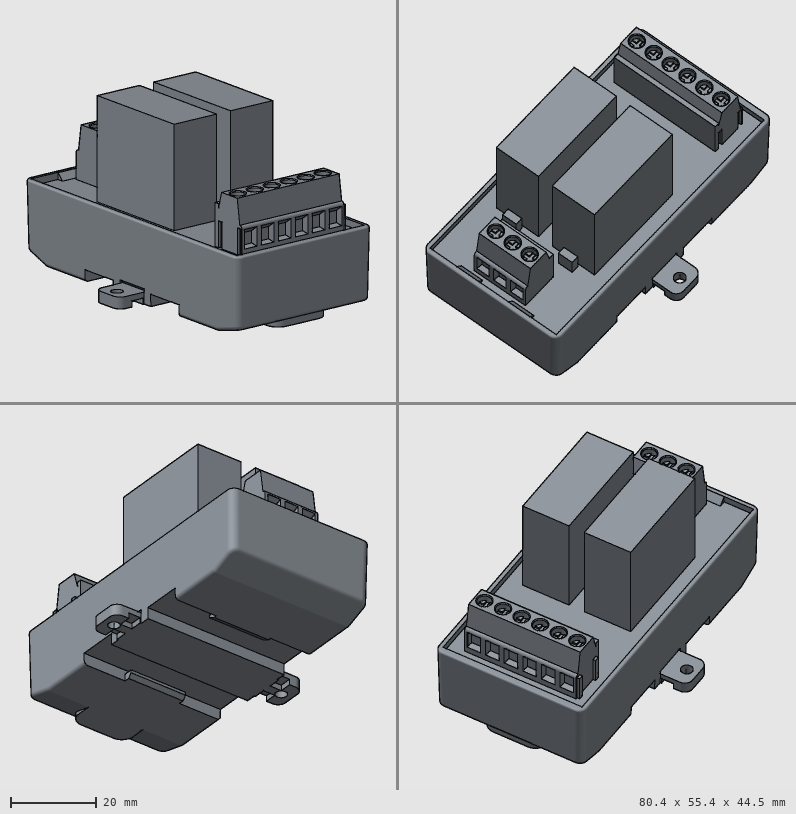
import cadquery as cq
import math


LENGTH = 80.4
WIDTH = 40.85
RIM_Z = 20.0
DRAFT_ANGLE = 1.0
CORNER_RADIUS = 2.1
RIM_ROUND = 0.5
BASE_ROUND = 1.05
RIM_WALL = 1.3
RIGHT_RIM_WALL = 1.8
FLOOR_Z = 18.25

LEFT_SLOPE_START_X = -32.3
LEFT_SLOPE_END_Z = 2.8
RIGHT_SLOPE_START_X = 32.2
RIGHT_SLOPE_END_Z = 1.9

UNDERSIDE_LIMIT_Z = 6.0

CHANNEL_TOP_Z = 3.05
CHANNELS_X = [(-17.5, -6.9), (7.2, 17.85)]
HOOK_WIDTH = 16.1
FIXED_HOOK_TIP_X = -14.95
FIXED_HOOK_FOOT_X = -16.7
FIXED_HOOK_TOP_Z = 1.6
LATCH_TIP_X = 15.5
LATCH_FOOT_X = 16.5
LATCH_TOP_Z = 1.9
HOOK_LIP = 0.8
LATCH_HANDLE_X = 39.2
LATCH_CORNER_RADIUS = 3.3

EAR_CENTRE_X = 0.25
EAR_WIDTH = 9.0
EAR_SPAN = 55.4
EAR_END_Y = EAR_SPAN / 2
EAR_TOP_Z = 3.0
EAR_CORNER_RADIUS = 2.2
EAR_HOLE_DIAMETER = 3.0
EAR_HOLE_Y = 24.7
EAR_UNDERCUT_END_Y = 23.7
EAR_UNDERCUT_HEIGHT = 1.5
EAR_WEB = 2.6
EAR_RELIEF = 1.1

RELAY_PITCH = 17.0
RELAY_X = (-19.45, 9.5)
RELAY_WIDTH = 12.8
RELAY_TOP_Z = 44.5
LAMP_X = (-22.2, -20.1)
LAMP_WIDTH = 4.2
LAMP_TOP_Z = 22.5
LAMP_OFFSET_Y = 0.25
CLIP_SIZE = 1.7
CLIP_WIDTH = 6.5
CLIP_CENTRE_Y = 7.8

TERMINAL_TOP_Z = 32.2
TERMINAL_TOP_WIDTH = 5.9
SHOULDER_Z = 25.7
SHOULDER_RADIUS = 0.9
FRONT_SLOPE_RUN = 1.0
BACK_SLOPE_RUN = 1.2
BACK_STEP_Z = 28.05
SCREW_FROM_FRONT = 4.8
SCREW_MOUTH_DIAMETER = 4.1
SCREW_CHAMFER = 0.25
SCREW_DEPTH = 1.8
CROSS_SLOT_WIDTH = 1.0
CROSS_SLOT_DEPTH = 0.5
WIRE_MOUTH = (3.7, 19.9, 24.8)
WIRE_END = (2.8, 20.5, 23.55)
WIRE_DEPTH = 1.4

SMALL_POLES = 3
SMALL_BLOCK_FRONT_X = -36.35
SMALL_BLOCK_WIDTH = 15.5
SMALL_BLOCK_Y = 0.1
SMALL_BACK_X = -26.0

LARGE_POLES = 6
LARGE_BLOCK_FRONT_X = 35.4
LARGE_BLOCK_WIDTH = 30.7
POLE_PITCH = LARGE_BLOCK_WIDTH / LARGE_POLES
LARGE_BLOCK_Y = 0.25
LARGE_BACK_X = 25.2
BACK_PLATE_THICKNESS = 1.3
BACK_PLATE_Z = 29.1
JOINT_X = [(26.45, 27.7), (33.7, 34.9)]
JOINT_DEPTH = 0.7
JOINT_TOP_Z = 24.85


def block(x_range, y_range, z_range):
    """Box between the given limits."""
    spans = [high - low for low, high in (x_range, y_range, z_range)]
    corner = (x_range[0], y_range[0], z_range[0])
    return cq.Workplane("XY").box(*spans, centered=False).translate(corner)


def centred(middle, width):
    """Limits of a width centred on a place."""
    return (middle - width / 2, middle + width / 2)


def prism(points, y_range):
    """Polygon of (x, z) points extruded between two Y places."""
    outline = cq.Workplane("XZ", origin=(0, y_range[1], 0)).polyline(points).close()
    return outline.extrude(y_range[1] - y_range[0])


def make_drafted_block():
    """Block narrowing downward, with its nominal length and width just below the rim rounding."""
    rim_growth = 2 * RIM_ROUND * math.tan(math.radians(DRAFT_ANGLE))
    return (
        cq.Workplane("XY", origin=(0, 0, RIM_Z))
        .rect(LENGTH + rim_growth, WIDTH + rim_growth)
        .extrude(-RIM_Z, taper=DRAFT_ANGLE)
    )


def make_shell():
    """Drafted block with sloping ends, rounded edges and a recessed floor inside the rim."""
    shell = make_drafted_block()
    bottom_end_x = LENGTH / 2 - RIM_Z * math.tan(math.radians(DRAFT_ANGLE))
    for start_x, end_x, end_z in (
        (LEFT_SLOPE_START_X, -bottom_end_x, LEFT_SLOPE_END_Z),
        (RIGHT_SLOPE_START_X, bottom_end_x, RIGHT_SLOPE_END_Z),
    ):
        far_x = 2 * end_x - start_x
        slope = [(start_x, 0), (far_x, 2 * end_z), (far_x, 0)]
        shell = shell.cut(prism(slope, (-WIDTH, WIDTH)))
    upright = cq.selectors.BoxSelector(
        (-LENGTH, -WIDTH, UNDERSIDE_LIMIT_Z), (LENGTH, WIDTH, FLOOR_Z)
    )
    shell = shell.edges(upright).fillet(CORNER_RADIUS)
    shell = shell.faces(">Z").edges().fillet(RIM_ROUND)
    underside = cq.selectors.BoxSelector(
        (-LENGTH, -WIDTH, -UNDERSIDE_LIMIT_Z), (LENGTH, WIDTH, UNDERSIDE_LIMIT_Z)
    )
    shell = shell.edges(underside).fillet(BASE_ROUND)
    inside_x = (-LENGTH / 2 + RIM_WALL, LENGTH / 2 - RIGHT_RIM_WALL)
    inside_y = centred(0, WIDTH - 2 * RIM_WALL)
    return shell.cut(block(inside_x, inside_y, (FLOOR_Z, RIM_Z)))


def make_foot():
    """Central foot between the rail channels, sharp along its bottom edges."""
    foot_x = (CHANNELS_X[0][1], CHANNELS_X[1][0])
    return make_drafted_block().intersect(block(foot_x, (-WIDTH, WIDTH), (0, CHANNEL_TOP_Z)))


def make_fixed_hook():
    """Hook that holds one edge of the rail."""
    wall_x = CHANNELS_X[0][0]
    points = [
        (wall_x - HOOK_LIP, 0),
        (FIXED_HOOK_FOOT_X, 0),
        (FIXED_HOOK_TIP_X, FIXED_HOOK_TOP_Z - HOOK_LIP),
        (FIXED_HOOK_TIP_X, FIXED_HOOK_TOP_Z),
        (wall_x - HOOK_LIP, FIXED_HOOK_TOP_Z),
    ]
    return prism(points, centred(0, HOOK_WIDTH))


def make_latch():
    """Latch along the base, with a hook for the other rail edge and a rounded handle."""
    points = [
        (LATCH_FOOT_X, 0),
        (LATCH_HANDLE_X, 0),
        (LATCH_HANDLE_X, LATCH_TOP_Z),
        (LATCH_TIP_X, LATCH_TOP_Z),
        (LATCH_TIP_X, LATCH_TOP_Z - HOOK_LIP),
    ]
    latch = prism(points, centred(0, HOOK_WIDTH))
    return latch.faces(">X").edges("|Z").fillet(LATCH_CORNER_RADIUS)


def make_ear():
    """Mounting ear on the -Y side, undercut beside a middle web."""
    root_y = -WIDTH / 2 + EAR_RELIEF
    x_range = centred(EAR_CENTRE_X, EAR_WIDTH)
    ear = block(x_range, (-EAR_END_Y, root_y), (0, EAR_TOP_Z))
    ear = ear.faces("<Y").edges("|Z").fillet(EAR_CORNER_RADIUS)
    web_x = centred(EAR_CENTRE_X, EAR_WEB)
    for side_x in ((x_range[0], web_x[0]), (web_x[1], x_range[1])):
        undercut = block(side_x, (-EAR_UNDERCUT_END_Y, -WIDTH / 2), (0, EAR_UNDERCUT_HEIGHT))
        ear = ear.cut(undercut)
    hole = (
        cq.Workplane("XY", origin=(EAR_CENTRE_X, -EAR_HOLE_Y, 0))
        .circle(EAR_HOLE_DIAMETER / 2)
        .extrude(EAR_TOP_Z)
    )
    return ear.cut(hole)


def make_ear_relief():
    """Wedge cut from the -Y wall just above the ear, with a 45 degree roof."""
    wall_y = -WIDTH / 2
    points = [
        (wall_y - EAR_RELIEF, EAR_TOP_Z),
        (wall_y + EAR_RELIEF, EAR_TOP_Z),
        (wall_y - EAR_RELIEF, EAR_TOP_Z + 2 * EAR_RELIEF),
    ]
    start_x = EAR_CENTRE_X - EAR_WIDTH / 2
    return cq.Workplane("YZ", origin=(start_x, 0, 0)).polyline(points).close().extrude(EAR_WIDTH)


def make_clip(centre_y):
    """Wedge at the -X rim wall, sloping down to the floor at 45 degrees."""
    wall_x = -LENGTH / 2 + RIM_WALL
    points = [
        (wall_x, FLOOR_Z),
        (wall_x + CLIP_SIZE, FLOOR_Z),
        (wall_x, FLOOR_Z + CLIP_SIZE),
    ]
    return prism(points, centred(centre_y, CLIP_WIDTH))


def make_housing():
    """Housing with its rail channels, latch, ears, relays, lamps and clips."""
    housing = make_shell().union(make_foot())
    for channel_x in CHANNELS_X:
        housing = housing.cut(block(channel_x, (-WIDTH, WIDTH), (0, CHANNEL_TOP_Z)))
    housing = housing.union(make_fixed_hook()).union(make_latch())
    for turn in (0, 180):
        axis = ((EAR_CENTRE_X, 0, 0), (EAR_CENTRE_X, 0, 1), turn)
        housing = housing.cut(make_ear_relief().rotate(*axis))
        housing = housing.union(make_ear().rotate(*axis))
    for side in (-1, 1):
        relay_y = side * RELAY_PITCH / 2
        lamp_y = relay_y + LAMP_OFFSET_Y
        housing = housing.union(block(RELAY_X, centred(relay_y, RELAY_WIDTH), (FLOOR_Z, RELAY_TOP_Z)))
        housing = housing.union(block(LAMP_X, centred(lamp_y, LAMP_WIDTH), (FLOOR_Z, LAMP_TOP_Z)))
        housing = housing.union(make_clip(side * CLIP_CENTRE_Y))
    return housing


def terminal_profile(front_x, back_x, inward):
    """Outline from the floor up the wire side, over the top and down the back.

    inward is +1 when the back lies toward +X of the front, and -1 otherwise.
    """
    shoulder_x = front_x + inward * SHOULDER_RADIUS
    top_front_x = shoulder_x + inward * FRONT_SLOPE_RUN
    top_back_x = top_front_x + inward * TERMINAL_TOP_WIDTH
    step_x = top_back_x + inward * BACK_SLOPE_RUN
    arc_middle = (
        front_x + inward * SHOULDER_RADIUS * (1 - math.sqrt(0.5)),
        SHOULDER_Z - SHOULDER_RADIUS * (1 - math.sqrt(0.5)),
    )
    return (
        cq.Workplane("XZ")
        .moveTo(front_x, FLOOR_Z)
        .lineTo(front_x, SHOULDER_Z - SHOULDER_RADIUS)
        .threePointArc(arc_middle, (shoulder_x, SHOULDER_Z))
        .lineTo(top_front_x, TERMINAL_TOP_Z)
        .lineTo(top_back_x, TERMINAL_TOP_Z)
        .lineTo(step_x, BACK_STEP_Z)
        .lineTo(back_x, BACK_STEP_Z)
        .lineTo(back_x, FLOOR_Z)
        .close()
    )


def screw_recess(x, y):
    """Round screw well with a chamfered mouth and a cross slot in its floor."""
    bore_diameter = SCREW_MOUTH_DIAMETER - 2 * SCREW_CHAMFER
    well_floor_z = TERMINAL_TOP_Z - SCREW_DEPTH
    well = (
        cq.Workplane("XY", origin=(x, y, well_floor_z))
        .circle(bore_diameter / 2)
        .extrude(SCREW_DEPTH)
    )
    mouth = (
        cq.Workplane("XY", origin=(x, y, TERMINAL_TOP_Z))
        .circle(SCREW_MOUTH_DIAMETER / 2)
        .workplane(offset=-SCREW_CHAMFER)
        .circle(bore_diameter / 2)
        .loft()
    )
    slot_floor = cq.Workplane("XY", origin=(x, y, well_floor_z - CROSS_SLOT_DEPTH))
    cross = slot_floor.rect(bore_diameter, CROSS_SLOT_WIDTH).extrude(CROSS_SLOT_DEPTH)
    cross = cross.union(slot_floor.rect(CROSS_SLOT_WIDTH, bore_diameter).extrude(CROSS_SLOT_DEPTH))
    round_limit = slot_floor.circle(bore_diameter / 2).extrude(CROSS_SLOT_DEPTH)
    return well.union(mouth).union(cross.intersect(round_limit))


def wire_funnel(front_x, inward, y):
    """Wire entry that narrows from its mouth to a flat end."""
    mouth_width, mouth_low, mouth_high = WIRE_MOUTH
    end_width, end_low, end_high = WIRE_END
    mouth_z = (mouth_low + mouth_high) / 2
    end_z = (end_low + end_high) / 2
    return (
        cq.Workplane("YZ", origin=(front_x, y, mouth_z))
        .rect(mouth_width, mouth_high - mouth_low)
        .workplane(offset=inward * WIRE_DEPTH)
        .center(0, end_z - mouth_z)
        .rect(end_width, end_high - end_low)
        .loft(ruled=True)
    )


def make_terminal(poles, front_x, back_x, width, centre_y):
    """Terminal block with a screw well and a wire entry for each pole."""
    inward = math.copysign(1, back_x - front_x)
    profile = terminal_profile(front_x, back_x, inward)
    terminal = profile.extrude(width / 2, both=True)
    for pole in range(poles):
        pole_y = (pole - (poles - 1) / 2) * POLE_PITCH
        terminal = terminal.cut(screw_recess(front_x + inward * SCREW_FROM_FRONT, pole_y))
        terminal = terminal.cut(wire_funnel(front_x, inward, pole_y))
    return terminal.translate((0, centre_y, 0))


def make_small_terminal():
    """Three-pole block with its wire side toward -X."""
    return make_terminal(
        SMALL_POLES, SMALL_BLOCK_FRONT_X, SMALL_BACK_X, SMALL_BLOCK_WIDTH, SMALL_BLOCK_Y
    )


def make_large_terminal():
    """Six-pole block facing +X, with a raised back plate and joining ribs and grooves."""
    terminal = make_terminal(
        LARGE_POLES, LARGE_BLOCK_FRONT_X, LARGE_BACK_X, LARGE_BLOCK_WIDTH, LARGE_BLOCK_Y
    )
    plate_x = (LARGE_BACK_X, LARGE_BACK_X + BACK_PLATE_THICKNESS)
    groove_y, rib_y = centred(LARGE_BLOCK_Y, LARGE_BLOCK_WIDTH)
    terminal = terminal.union(block(plate_x, (groove_y, rib_y), (FLOOR_Z, BACK_PLATE_Z)))
    for joint_x in JOINT_X:
        joint_z = (FLOOR_Z, JOINT_TOP_Z)
        terminal = terminal.union(block(joint_x, (rib_y, rib_y + JOINT_DEPTH), joint_z))
        terminal = terminal.cut(block(joint_x, (groove_y, groove_y + JOINT_DEPTH), joint_z))
    return terminal


housing = make_housing()
small_terminal = make_small_terminal()
large_terminal = make_large_terminal()

result = cq.Compound.makeCompound([housing.val(), small_terminal.val(), large_terminal.val()])